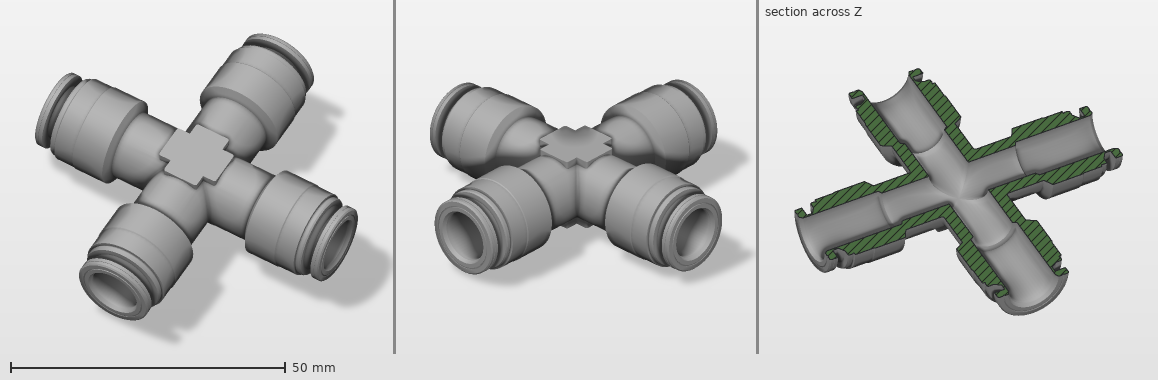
import cadquery as cq
arm_length = 30.0
arm_angles = (0, 90, 180, 270)

tube_radius = 6.5
junction_fillet = 0.4

pad_half_length = 6.0
pad_half_width = 3.45
pad_half_height = 7.0
pad_corner_radius = 0.4

body_radius = 8.25
body_inner_end = 14.1
body_cone_length = 1.0
body_outer_end = 21.5
body_outer_chamfer_length = 0.2
body_outer_chamfer_depth = 0.15

sleeve_radius = body_radius - body_outer_chamfer_depth
sleeve_end = 25.3
collar_radius = 7.7
collar_end = 26.5
collar_chamfer_length = 0.3
collar_chamfer_depth = 0.15

root_radius = 6.4
neck_radius = 5.2
neck_start = 27.3
flange_radius = 7.3
flange_start = 28.4
flange_chamfer = 0.25
rim_groove_centre = 29.15
rim_groove_width = 0.12
rim_groove_depth = 0.1
face_groove_inner_radius = 5.95
face_groove_outer_radius = 6.2
face_groove_depth = 0.15

bore_radius = 4.0
socket_radius = 4.75
socket_bottom = body_inner_end
socket_cone_length = 0.45
mouth_chamfer_depth = 0.4
mouth_chamfer_length = 0.7


def revolve_about_x(points):
    """Revolve a closed (distance along X, radius) outline about the X axis."""
    return cq.Workplane("XY").polyline(points).close().revolve(360, (0, 0, 0), (1, 0, 0))


def around_centre(shape):
    """Join copies of an arm shape turned to all four directions."""
    joined = cq.Workplane("XY")
    for angle in arm_angles:
        joined = joined.union(shape.rotate((0, 0, 0), (0, 0, 1), angle))
    return joined


def cross_pads():
    """One cross-shaped block whose ends stand proud above and below the tubes."""
    length = 2 * pad_half_length
    width = 2 * pad_half_width
    height = 2 * pad_half_height
    bar_x = cq.Workplane("XY").box(length, width, height).edges("|Z").fillet(pad_corner_radius)
    bar_y = bar_x.rotate((0, 0, 0), (0, 0, 1), 90)
    return bar_x.union(bar_y)


def central_core():
    """Crossing tubes with the pads, rounded where the tubes meet."""
    tube_length = 2 * (body_inner_end + body_cone_length)
    upright_tube = cq.Workplane("XY", origin=(0, 0, -tube_length / 2)).circle(tube_radius)
    tube_x = upright_tube.extrude(tube_length).rotate((0, 0, 0), (0, 1, 0), 90)
    tube_y = tube_x.rotate((0, 0, 0), (0, 0, 1), 90)
    core = tube_x.union(tube_y).union(cross_pads())
    return core.edges("%ELLIPSE").fillet(junction_fillet)


def arm_end():
    """Turned outside of one arm: body, sleeve, collar, neck and flange."""
    collar_edge_radius = collar_radius - collar_chamfer_depth
    groove_start = rim_groove_centre - rim_groove_width / 2
    groove_end = rim_groove_centre + rim_groove_width / 2
    groove_radius = flange_radius - rim_groove_depth
    return revolve_about_x([
        (body_inner_end, 0),
        (body_inner_end, tube_radius),
        (body_inner_end + body_cone_length, body_radius),
        (body_outer_end - body_outer_chamfer_length, body_radius),
        (body_outer_end, sleeve_radius),
        (sleeve_end, sleeve_radius),
        (sleeve_end, collar_edge_radius),
        (sleeve_end + collar_chamfer_length, collar_radius),
        (collar_end - collar_chamfer_length, collar_radius),
        (collar_end, collar_edge_radius),
        (collar_end, root_radius),
        (neck_start, neck_radius),
        (flange_start, neck_radius),
        (flange_start, flange_radius),
        (groove_start, flange_radius),
        (groove_start, groove_radius),
        (groove_end, groove_radius),
        (groove_end, flange_radius),
        (arm_length - flange_chamfer, flange_radius),
        (arm_length, flange_radius - flange_chamfer),
        (arm_length, 0),
    ])


def arm_bore():
    """Cavity of one arm, from the centre of the part to the mouth."""
    return revolve_about_x([
        (0, 0),
        (0, bore_radius),
        (socket_bottom - socket_cone_length, bore_radius),
        (socket_bottom, socket_radius),
        (arm_length - mouth_chamfer_length, socket_radius),
        (arm_length, socket_radius + mouth_chamfer_depth),
        (arm_length, 0),
    ])


def face_groove():
    """Shallow ring cut into the flange face around the mouth."""
    groove = cq.Workplane("YZ", origin=(arm_length - face_groove_depth, 0, 0))
    groove = groove.circle(face_groove_outer_radius).circle(face_groove_inner_radius)
    return groove.extrude(face_groove_depth)


arm_solid = arm_end().cut(face_groove())
result = central_core().union(around_centre(arm_solid)).cut(around_centre(arm_bore()))